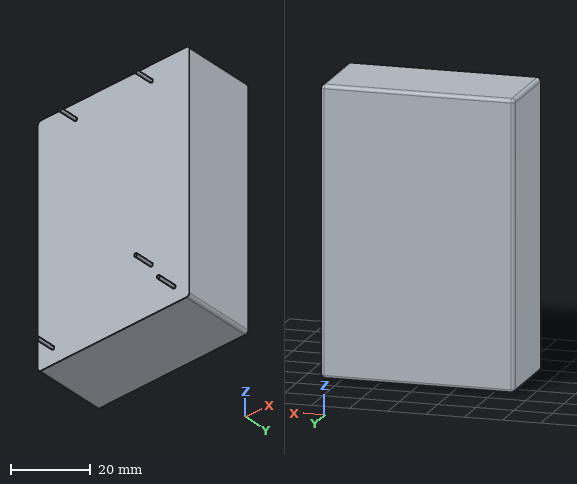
import cadquery as cq

case_height = 76.2
case_width = case_height * 2 / 3
case_depth = 22.85
edge_radius = 1.0

pin_diameter = 1.0
pin_length = 5.95
grid_pitch = case_height / 30
pin_grid_places = [
    (-5, 13),
    (5, 13),
    (5, -9),
    (-8, -13),
    (8, -13),
]


def make_case():
    """Block rounded along its four Y edges and its +Y rim; the rim of the pin face stays sharp."""
    block = cq.Workplane("XY").box(
        case_width, case_depth, case_height, centered=(True, False, True)
    )
    return block.edges("|Y or >Y").fillet(edge_radius)


def make_pins():
    """Round pins standing out of the y = 0 face toward -Y."""
    centers = [(column * grid_pitch, row * grid_pitch) for column, row in pin_grid_places]
    return cq.Workplane("XZ").pushPoints(centers).circle(pin_diameter / 2).extrude(pin_length)


result = make_case().union(make_pins())